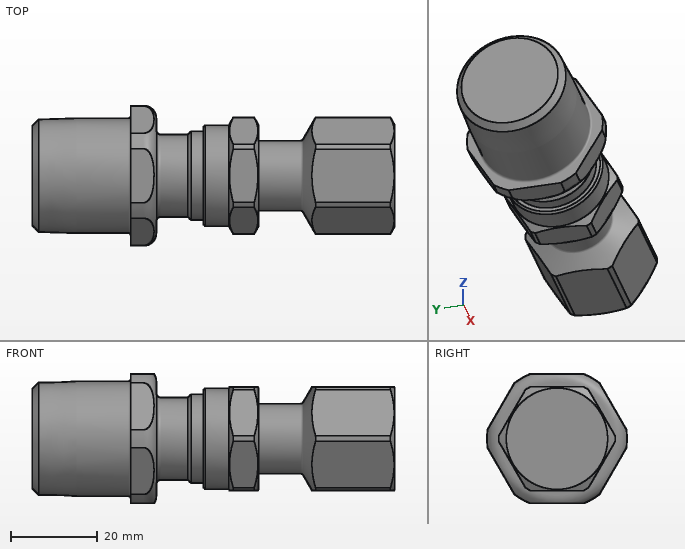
import cadquery as cq
import math


thread_dia = 26.67
thread_chamfer = 1.5
taper_end_x = 10.25
taper = 1 / 16
collar_start_x = 22.8
collar_length = 6.0
collar_end_x = collar_start_x + collar_length
collar_flats = 30.0
collar_corner_dia = 32.5
collar_round = 3.0
thread_fillet = 0.5
neck_dia = 19.15
neck_fillet = 1.0
union_thread_dia = 20.64
union_thread_start_x = 36.05

nut_start_x = 39.6
nut_skirt_dia = 23.5
nut_skirt_chamfer = 0.5
nut_hex_x = 45.55
nut_end_x = 52.45

shank_dia = 16.3
tail_hex_x = 62.55
tail_end_x = 84.0
tail_fillet = 0.5

hex_flats = 24.0
hex_corner_dia = 27.0
hex_face_dia = 23.5
chamfer_slope = math.tan(math.radians(30))
hex_chamfer = (hex_corner_dia - hex_face_dia) / 2 * chamfer_slope


def hex_prism(flats, start_x, end_x):
    """Hexagonal bar along X with two of its flats facing up and down."""
    return (
        cq.Workplane("YZ", origin=(start_x, 0, 0))
        .polygon(6, flats, circumscribed=True)
        .extrude(end_x - start_x)
        .rotate((0, 0, 0), (1, 0, 0), 90)
    )


def turned(profile):
    """Revolve an (x, radius) profile about the X axis."""
    return profile.close().revolve(360, (0, 0, 0), (1, 0, 0))


def cylinder(dia, start_x, end_x):
    return cq.Workplane("YZ", origin=(start_x, 0, 0)).circle(dia / 2).extrude(end_x - start_x)


def make_stud():
    thread_r = thread_dia / 2
    tip_r = thread_r - (taper_end_x - thread_chamfer) * taper / 2
    neck_r = neck_dia / 2
    union_r = union_thread_dia / 2
    turned_part = turned(
        cq.Workplane("XY")
        .moveTo(0, 0)
        .lineTo(0, tip_r - thread_chamfer)
        .lineTo(thread_chamfer, tip_r)
        .lineTo(taper_end_x, thread_r)
        .lineTo(collar_start_x - thread_fillet, thread_r)
        .radiusArc((collar_start_x, thread_r + thread_fillet), -thread_fillet)
        .lineTo(collar_end_x, neck_r + neck_fillet)
        .radiusArc((collar_end_x + neck_fillet, neck_r), -neck_fillet)
        .lineTo(union_thread_start_x, neck_r)
        .lineTo(union_thread_start_x + union_r - neck_r, union_r)
        .lineTo(nut_hex_x, union_r)
        .lineTo(nut_hex_x, 0)
    )
    collar_r = collar_corner_dia / 2
    collar_envelope = turned(
        cq.Workplane("XY")
        .moveTo(collar_start_x, 0)
        .lineTo(collar_start_x, collar_r)
        .lineTo(collar_end_x - collar_round, collar_r)
        .radiusArc((collar_end_x, collar_r - collar_round), collar_round)
        .lineTo(collar_end_x, 0)
    )
    collar = hex_prism(collar_flats, collar_start_x, collar_end_x).intersect(collar_envelope)
    return turned_part.union(collar)


def make_nut():
    skirt = cylinder(nut_skirt_dia, nut_start_x, nut_hex_x).faces("<X").chamfer(nut_skirt_chamfer)
    face_r = hex_face_dia / 2
    corner_r = hex_corner_dia / 2
    envelope = turned(
        cq.Workplane("XY")
        .moveTo(nut_hex_x, 0)
        .lineTo(nut_hex_x, face_r)
        .lineTo(nut_hex_x + hex_chamfer, corner_r)
        .lineTo(nut_end_x - hex_chamfer, corner_r)
        .lineTo(nut_end_x, face_r)
        .lineTo(nut_end_x, 0)
    )
    nut_hex = hex_prism(hex_flats, nut_hex_x, nut_end_x).intersect(envelope)
    thread_bore = cylinder(union_thread_dia, nut_start_x, nut_hex_x)
    shank_bore = cylinder(shank_dia, nut_hex_x, nut_end_x)
    return skirt.union(nut_hex).cut(thread_bore).cut(shank_bore)


def make_tail():
    shank_r = shank_dia / 2
    corner_r = hex_corner_dia / 2
    cone_length = (corner_r - shank_r) * chamfer_slope
    envelope = turned(
        cq.Workplane("XY")
        .moveTo(tail_hex_x, 0)
        .lineTo(tail_hex_x, shank_r)
        .lineTo(tail_hex_x + cone_length, corner_r)
        .lineTo(tail_end_x - hex_chamfer, corner_r)
        .lineTo(tail_end_x, hex_face_dia / 2)
        .lineTo(tail_end_x, 0)
    )
    tail_hex = hex_prism(hex_flats, tail_hex_x, tail_end_x).intersect(envelope)
    shank = cylinder(shank_dia, nut_hex_x, tail_hex_x)
    shank_root = cq.selectors.BoxSelector(
        (tail_hex_x - tail_fillet / 2, -corner_r, -corner_r),
        (tail_hex_x + tail_fillet / 2, corner_r, corner_r),
    )
    return shank.union(tail_hex).edges("%CIRCLE").edges(shank_root).fillet(tail_fillet)


stud = make_stud()
nut = make_nut()
tail = make_tail()

result = cq.Compound.makeCompound([stud.val(), nut.val(), tail.val()])